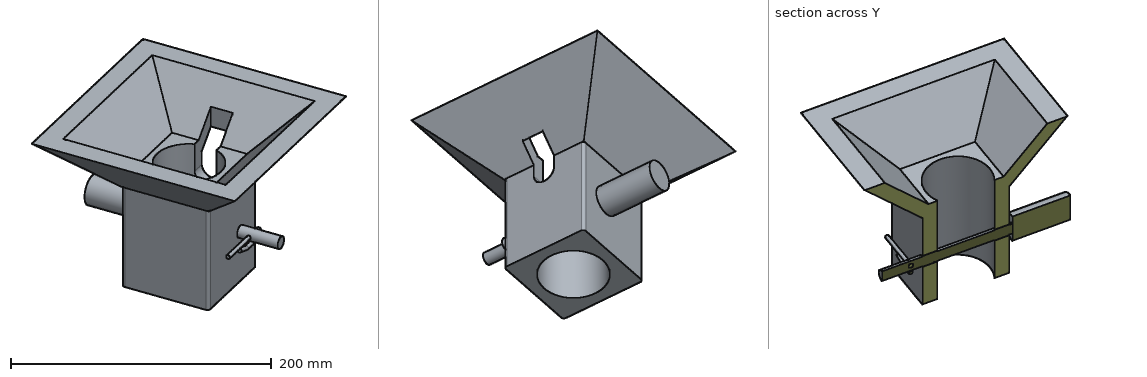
import cadquery as cq

funnel_width = 177.8
height = 139.8
block_width = 76.1
flare = (funnel_width - block_width) / 2
block_height = height - flare
corner_radius = 2.5
wall = 12.6
floor_z = block_height + wall
rim_width = wall * 2 ** 0.5
cavity_top_width = funnel_width - 2 * rim_width
cavity_depth = height - floor_z
cavity_floor_width = cavity_top_width - 2 * cavity_depth
bore_diameter = 55.9

slot_width = 19.1
slot_reach = 52.5
slot_arc_z = 77.5

rod_diameter = 10.5
rod_y = 12.6
rod_z = block_height / 2
knob_diameter = 25.5
knob_length = 50.9
knob_left_x = -91.5
rod_left_x = knob_left_x + knob_length
rod_right_x = 73.4

wire_diameter = 3.5
clip_x = 48.2
clip_front_y = -25.6
clip_bend_y = 20.7
leg_drop = 7.2
clip_bend_radius = leg_drop / 2
kink_y = 3.6
lift_length = 10.8
lift_height = 3.5


def square_frustum(bottom_z, bottom_width, top_width, depth):
    return (
        cq.Workplane("XY", origin=(0, 0, bottom_z))
        .rect(bottom_width, bottom_width)
        .workplane(offset=depth)
        .rect(top_width, top_width)
        .loft(ruled=True)
    )


def cylinder_along_x(diameter, left_x, right_x):
    """Cylinder on the rod axis."""
    return (
        cq.Workplane("YZ", origin=(left_x, rod_y, rod_z))
        .circle(diameter / 2)
        .extrude(right_x - left_x)
    )


def make_slot_cutter():
    """Vertical slot running back from the bore, with a rounded bottom."""
    half_width = slot_width / 2
    return (
        cq.Workplane("XZ")
        .moveTo(-half_width, height)
        .lineTo(-half_width, slot_arc_z)
        .threePointArc((0, slot_arc_z - half_width), (half_width, slot_arc_z))
        .lineTo(half_width, height)
        .close()
        .extrude(-slot_reach)
    )


def make_rod():
    return cylinder_along_x(rod_diameter, rod_left_x, rod_right_x)


def make_hopper():
    block = (
        cq.Workplane("XY")
        .rect(block_width, block_width)
        .extrude(block_height)
        .edges("|Z")
        .fillet(corner_radius)
    )
    funnel = square_frustum(block_height, block_width, funnel_width, flare)
    cavity = square_frustum(floor_z, cavity_floor_width, cavity_top_width, cavity_depth)
    bore = cq.Workplane("XY").circle(bore_diameter / 2).extrude(height)
    return block.union(funnel).cut(cavity).cut(bore).cut(make_slot_cutter()).cut(make_rod())


def make_knob():
    return cylinder_along_x(knob_diameter, knob_left_x, rod_left_x)


def make_clip():
    """Wire swept from the front tip, around the back bend, and forward under the rod."""
    lower_z = rod_z - leg_drop
    path = (
        cq.Workplane("YZ", origin=(clip_x, 0, 0))
        .moveTo(clip_front_y, rod_z)
        .lineTo(clip_bend_y, rod_z)
        .threePointArc(
            (clip_bend_y + clip_bend_radius, rod_z - clip_bend_radius),
            (clip_bend_y, lower_z),
        )
        .lineTo(kink_y, lower_z)
        .lineTo(kink_y - lift_length, lower_z + lift_height)
    )
    return (
        cq.Workplane("XZ", origin=(clip_x, clip_front_y, rod_z))
        .circle(wire_diameter / 2)
        .sweep(path, transition="round")
    )


hopper = make_hopper()
knob = make_knob()
clip = make_clip()
rod = make_rod().cut(clip)

result = cq.Compound.makeCompound([hopper.val(), knob.val(), rod.val(), clip.val()])